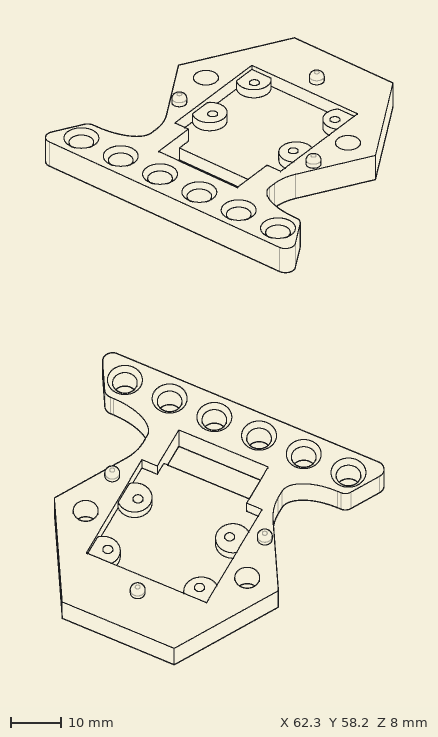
import cadquery as cq
import math

plate_thickness = 6.0
hex_radius = 25.0
hex_half_height = hex_radius * math.sin(math.radians(60))
foot_width = 62.35
foot_bottom = -36.55
foot_height = 10.0
foot_top = foot_bottom + foot_height
foot_corner_radius = 2.0
neck_arc_radius = 10.0
neck_ellipse_length = 10.0
neck_ellipse_height = 5.0

pocket_half_width = 13.4
pocket_top = 9.0
pocket_bottom = -15.95
pocket_depth = 3.0
slot_half_width = 10.0
slot_top = -18.9
slot_bottom = -25.6
boss_radius = 3.5
boss_height = 2.0
boss_x = 11.0
boss_rows = (6.5, -7.8)
boss_hole_diameter = 2.0
boss_hole_x = 10.2
boss_hole_rows = (5.75, -7.8)

head_hole_diameter = 5.0
head_hole_x = 18.0
foot_hole_count = 6
foot_hole_pitch = 10.0
foot_hole_y = -31.55
foot_hole_diameter = 4.9
countersink_diameter = 7.0
countersink_angle = 90

pin_diameter = 3.0
pin_height = 2.0
pin_round = 1.0
side_pin_x = 17.0
pin_points = [(0, 12.9), (-side_pin_x, -9.9), (side_pin_x, -9.9)]


def box_between(x_half, y_low, y_high, z_low, z_high):
    """Box centred on X = 0 between the given Y and Z limits."""
    return (
        cq.Workplane("XY", origin=(0, 0, z_low))
        .center(0, (y_low + y_high) / 2)
        .rect(2 * x_half, y_high - y_low)
        .extrude(z_high - z_low)
    )


def mirrored_points(x, rows):
    return [(side * x, y) for side in (-1, 1) for y in rows]


def make_plate():
    slope = math.tan(math.radians(60))
    cos30 = math.cos(math.radians(30))
    cos15 = math.cos(math.radians(15))
    sin15 = math.sin(math.radians(15))

    neck_x = neck_ellipse_length - hex_radius
    arc_start_x = neck_x - neck_arc_radius * (1 - cos30)
    arc_start_y = -slope * (arc_start_x + hex_radius)
    arc_end_y = arc_start_y - neck_arc_radius / 2
    arc_middle = (neck_x - neck_arc_radius * (1 - cos15), arc_end_y + neck_arc_radius * sin15)

    corner_x = -foot_width / 2 + foot_corner_radius * (1 - slope)
    shoulder_x = corner_x + foot_height / slope

    half = (
        cq.Workplane("XY")
        .moveTo(0, hex_half_height)
        .lineTo(-hex_radius / 2, hex_half_height)
        .lineTo(-hex_radius, 0)
        .lineTo(arc_start_x, arc_start_y)
        .threePointArc(arc_middle, (neck_x, arc_end_y))
        .lineTo(neck_x, foot_top + neck_ellipse_height)
        .ellipseArc(neck_ellipse_length, neck_ellipse_height, 270, 360, sense=-1)
        .lineTo(shoulder_x, foot_top)
        .lineTo(corner_x, foot_bottom)
        .lineTo(0, foot_bottom)
        .close()
        .extrude(plate_thickness)
    )
    corners = cq.selectors.BoxSelector(
        (corner_x - 0.6, foot_bottom - 0.6, 0), (shoulder_x + 0.6, foot_top + 0.6, plate_thickness)
    )
    half = half.edges("|Z").edges(corners).fillet(foot_corner_radius)
    return half.union(half.mirror("YZ"))


def cut_pocket(body):
    floor = plate_thickness - pocket_depth
    pocket = box_between(pocket_half_width, pocket_bottom, pocket_top, floor, plate_thickness)
    bosses = (
        cq.Workplane("XY", origin=(0, 0, floor))
        .pushPoints(mirrored_points(boss_x, boss_rows))
        .circle(boss_radius)
        .extrude(boss_height)
    )
    neck_pocket = box_between(slot_half_width, slot_bottom, pocket_bottom, floor, plate_thickness)
    slot = box_between(slot_half_width, slot_bottom, slot_top, 0, plate_thickness)
    return body.cut(pocket.cut(bosses)).cut(neck_pocket).cut(slot)


def drill_holes(body):
    top = body.faces(">Z").workplane(origin=(0, 0, plate_thickness))
    body = top.pushPoints(mirrored_points(boss_hole_x, boss_hole_rows)).hole(boss_hole_diameter)
    top = body.faces(">Z").workplane(origin=(0, 0, plate_thickness))
    body = top.pushPoints(mirrored_points(head_hole_x, [0])).hole(head_hole_diameter)
    first_x = -foot_hole_pitch * (foot_hole_count - 1) / 2
    foot_points = [(first_x + i * foot_hole_pitch, foot_hole_y) for i in range(foot_hole_count)]
    top = body.faces(">Z").workplane(origin=(0, 0, plate_thickness))
    return top.pushPoints(foot_points).cskHole(foot_hole_diameter, countersink_diameter, countersink_angle)


def make_pins():
    return (
        cq.Workplane("XY", origin=(0, 0, plate_thickness))
        .pushPoints(pin_points)
        .circle(pin_diameter / 2)
        .extrude(pin_height)
        .faces(">Z")
        .edges()
        .fillet(pin_round)
    )


result = drill_holes(cut_pocket(make_plate())).union(make_pins())